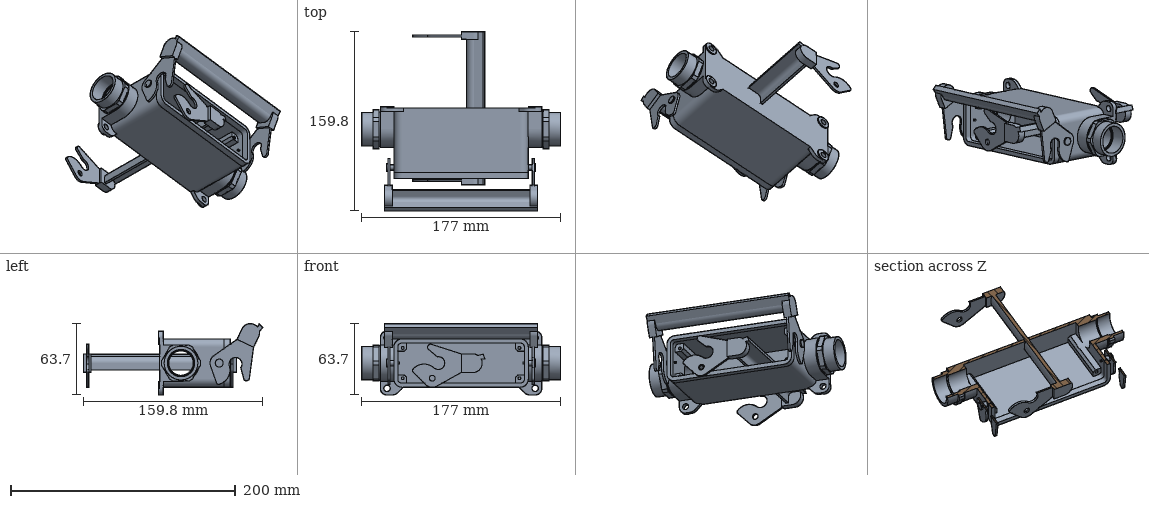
import cadquery as cq
import math


HOUSING_LENGTH = 119.5
HOUSING_HEIGHT = 43.0
HOUSING_DEPTH = 63.0
CORNER_RADIUS = 7.3
CAVITY_LENGTH = 112.5
CAVITY_HEIGHT = 35.4
CAVITY_RADIUS = 3.4
BACK_WALL = 3.4

FRAME_DEPTH = 5.7

POST_LENGTH = 8.0
POST_HEIGHT = 7.3
POST_CHAMFER = 2.3
POST_SETBACK = 11.3
SCREW_HOLE_DIAMETER = 2.5
SCREW_HOLE_DEPTH = 10.6
SCREW_X = 51.9
SCREW_Z = 13.5

EAR_THICKNESS = BACK_WALL
EAR_PAD_DIAMETER = 12.0
EAR_PAD_PROUD = 1.0
EAR_HOLE_DIAMETER = 5.5
EAR_X = 65.8
EAR_Z = 22.5
EAR_FLAT_END_X = 61.6
EAR_BLEND_RADIUS = 7.8
EAR_SLOPE_DEGREES = 45
EAR_PAD_THICKNESS = EAR_PAD_PROUD + EAR_THICKNESS

GLAND_Y = -19.1
GLAND_END_X = 88.5
BOSS_END_X = EAR_X + EAR_PAD_DIAMETER / 2
BOSS_RADIUS = 16.3
NECK_DIAMETER = 31.0
NECK_LENGTH = 1.0
HEX_LENGTH = 5.3
HEX_ACROSS_FLATS = 31.9
HEX_TURN_DEGREES = 30
HEX_CORNER_DIAMETER = 34.9
TUBE_DIAMETER = 30.0
TUBE_BORE_DIAMETER = 24.2
TUBE_BORE_DEPTH = 12.7
SEAT_DIAMETER = 23.5
SEAT_LENGTH = 1.2
INNER_BORE_DIAMETER = 21.8

LEVER_LENGTH = 136.3
ARM_THICKNESS = 2.0
ARM_INSET = 3.0
END_BLOCK_THICKNESS = 7.0
PIVOT_HOLE_DIAMETER = 5.1
PIVOT_END_RADIUS = 8.1

PIN_DIAMETER = 5.0
PIN_HEAD_DIAMETER = 7.0
PIN_HEAD_THICKNESS = 1.2
PIN_TAIL_DIAMETER = 1.8
PIN_TAIL_LENGTH = 1.5

PIVOT_Y = -53.1
MOUNTED_LEVER_DEGREES = 64.5
LOOSE_PIVOT_X = -25.7
LOOSE_PIVOT_Z = -13.5
LOOSE_LEVER_Y = -0.4


def on_circle(centre, radius, degrees):
    """Point on a circle at an angle from the first axis."""
    angle = math.radians(degrees)
    return (centre[0] + radius * math.cos(angle), centre[1] + radius * math.sin(angle))


def block(x0, x1, y0, y1, z0, z1):
    """Box between two opposite corners."""
    return cq.Workplane("XY").box(x1 - x0, y1 - y0, z1 - z0, centered=False).translate((x0, y0, z0))


def rounded_block(length, height, radius, y_front, y_back):
    """Bar along Y with a rounded rectangular section centred on the Y axis."""
    return (
        cq.Workplane("XZ", origin=(0, y_back, 0))
        .rect(length, height)
        .extrude(y_back - y_front)
        .edges("|Y")
        .fillet(radius)
    )


def mirrored_pair(shape):
    """A right-hand shape together with its left-hand mirror image."""
    return shape.union(shape.mirror("YZ"))


def rod(diameter, x0, x1, y):
    """Cylinder along X at mid height."""
    return cq.Workplane("YZ", origin=(x0, y, 0)).circle(diameter / 2).extrude(x1 - x0)



FRAME_Y = -HOUSING_DEPTH + FRAME_DEPTH


def ear():
    """Upper right mounting ear with a raised pad around its screw hole."""
    pad_radius = EAR_PAD_DIAMETER / 2
    slope = math.radians(EAR_SLOPE_DEGREES)
    top_z = EAR_Z + pad_radius
    root_z = HOUSING_HEIGHT / 2 - CORNER_RADIUS

    def blend_point(angle):
        return (
            EAR_FLAT_END_X - EAR_BLEND_RADIUS * math.sin(angle),
            top_z - EAR_BLEND_RADIUS * (1 - math.cos(angle)),
        )

    blend_end = blend_point(slope)
    slope_foot = (blend_end[0] - (blend_end[1] - root_z) / math.tan(slope), root_z)
    round_middle = on_circle((EAR_X, EAR_Z), pad_radius, 45)
    plate = (
        cq.Workplane("XZ")
        .moveTo(*slope_foot)
        .lineTo(*blend_end)
        .threePointArc(blend_point(slope / 2), (EAR_FLAT_END_X, top_z))
        .lineTo(EAR_X, top_z)
        .threePointArc(round_middle, (BOSS_END_X, EAR_Z))
        .lineTo(BOSS_END_X, 0)
        .lineTo(slope_foot[0], 0)
        .close()
        .extrude(EAR_THICKNESS)
    )
    pad_plane = cq.Workplane("XZ", origin=(EAR_X, EAR_PAD_PROUD, EAR_Z))
    pad = pad_plane.circle(pad_radius).extrude(EAR_PAD_THICKNESS)
    hole = pad_plane.circle(EAR_HOLE_DIAMETER / 2).extrude(EAR_PAD_THICKNESS)
    return plate.union(pad).cut(hole)


def gland():
    """Right cable gland: boss on the housing end, neck, hexagon and tube."""
    boss_start = CAVITY_LENGTH / 2
    hex_start = BOSS_END_X + NECK_LENGTH
    hex_end = hex_start + HEX_LENGTH
    boss = rod(2 * BOSS_RADIUS, boss_start, BOSS_END_X, GLAND_Y).union(
        block(boss_start, BOSS_END_X, GLAND_Y, 0, -BOSS_RADIUS, BOSS_RADIUS)
    )
    neck = rod(NECK_DIAMETER, BOSS_END_X, hex_start, GLAND_Y)
    hexagon = (
        cq.Workplane("YZ", origin=(hex_start, GLAND_Y, 0))
        .polygon(6, HEX_ACROSS_FLATS, circumscribed=True)
        .extrude(HEX_LENGTH)
        .rotate((0, GLAND_Y, 0), (1, GLAND_Y, 0), HEX_TURN_DEGREES)
        .intersect(rod(HEX_CORNER_DIAMETER, hex_start, hex_end, GLAND_Y))
    )
    tube = rod(TUBE_DIAMETER, hex_end, GLAND_END_X, GLAND_Y)
    return boss.union(neck).union(hexagon).union(tube)


def gland_bore():
    """Stepped bore from the end of the right gland, past a short seat, into the cavity."""
    inner_start = CAVITY_LENGTH / 2 - POST_LENGTH
    seat_end = GLAND_END_X - TUBE_BORE_DEPTH
    seat_start = seat_end - SEAT_LENGTH
    inner = rod(INNER_BORE_DIAMETER, inner_start, seat_start, GLAND_Y)
    seat = rod(SEAT_DIAMETER, seat_start, seat_end, GLAND_Y)
    outer = rod(TUBE_BORE_DIAMETER, seat_end, GLAND_END_X, GLAND_Y)
    return inner.union(seat).union(outer)


def screw_posts():
    """Four chamfered posts along the cavity corners, each with a blind screw hole."""
    y_front = -HOUSING_DEPTH + POST_SETBACK
    corner_x = CAVITY_LENGTH / 2
    corner_z = CAVITY_HEIGHT / 2
    post = (
        block(corner_x - POST_LENGTH, corner_x, y_front, -BACK_WALL, corner_z - POST_HEIGHT, corner_z)
        .edges("|Y and <X and <Z")
        .chamfer(POST_CHAMFER)
        .intersect(rounded_block(CAVITY_LENGTH, CAVITY_HEIGHT, CAVITY_RADIUS, y_front, -BACK_WALL))
    )
    hole = (
        cq.Workplane("XZ", origin=(SCREW_X, y_front + SCREW_HOLE_DEPTH, SCREW_Z))
        .circle(SCREW_HOLE_DIAMETER / 2)
        .extrude(SCREW_HOLE_DEPTH)
    )
    upper = mirrored_pair(post.cut(hole))
    return upper.union(upper.mirror("XY"))


def pivot_pin():
    """Right pivot pin: shank through the lever arm, outer head and a thin tail inside the cavity."""
    wall_x = CAVITY_LENGTH / 2
    head_start = LEVER_LENGTH / 2 - ARM_INSET
    shank = rod(PIN_DIAMETER, wall_x, head_start, PIVOT_Y)
    head = rod(PIN_HEAD_DIAMETER, head_start, head_start + PIN_HEAD_THICKNESS, PIVOT_Y)
    tail = rod(PIN_TAIL_DIAMETER, wall_x - PIN_TAIL_LENGTH, wall_x, PIVOT_Y)
    return shank.union(head).union(tail)


def make_housing():
    """Box open to the front, with ears, glands, screw posts and pivot pins."""
    upper_ears = mirrored_pair(ear())
    shell = (
        rounded_block(HOUSING_LENGTH, HOUSING_HEIGHT, CORNER_RADIUS, FRAME_Y, 0)
        .union(upper_ears)
        .union(upper_ears.mirror("XY"))
        .union(mirrored_pair(gland()))
        .cut(rounded_block(CAVITY_LENGTH, CAVITY_HEIGHT, CAVITY_RADIUS, FRAME_Y, -BACK_WALL))
    )
    return (
        shell.union(screw_posts())
        .cut(mirrored_pair(gland_bore()))
        .union(mirrored_pair(pivot_pin()))
    )




def make_frame():
    """Ring of the housing's own outline that finishes the open front."""
    outer = rounded_block(HOUSING_LENGTH, HOUSING_HEIGHT, CORNER_RADIUS, -HOUSING_DEPTH, FRAME_Y)
    return outer.cut(
        rounded_block(CAVITY_LENGTH, CAVITY_HEIGHT, CAVITY_RADIUS, -HOUSING_DEPTH, FRAME_Y)
    )



BLOCK_U = 25.8
BLOCK_BOTTOM = 5.1
BLOCK_TOP = 21.6
BLOCK_ROUND_U = 37.0
BLOCK_NOSE_U = 44.5
GRIP_CENTRE = (36.6, 13.1)
GRIP_RADIUS = 6.2
GRIP_THICKNESS = 2.3
GRIP_SKIRT_V = 7.3
GRIP_RIM_START = (37.2, GRIP_CENTRE[1] + GRIP_RADIUS)
GRIP_RIM_OUTER = (45.3, 21.5)
GRIP_RIM_INNER = (46.9, GRIP_CENTRE[1] + GRIP_RADIUS - GRIP_THICKNESS)
HOOK_CENTRE = (5.5, 13.5)
HOOK_RADIUS = 5.7
LOBE_TIP = [(-17.0, 5.5), (-17.5, 6.9), (-16.8, 8.3)]
LOBE_CREST = (-7.5, 12.5)
LOBE_END = (1.0, 9.5)
HOOK_ENTRY = (2.3, 8.7)
FINGER_TIP = [(-3.5, 25.8), (-3.5, 29.2), (-0.5, 30.1)]


def arm_outline(plane):
    """Flat arm: pivot lobe, hook notch and tapered finger."""
    pivot = (0, 0)
    hook_start = on_circle(HOOK_CENTRE, HOOK_RADIUS, -105)
    hook_middle = on_circle(HOOK_CENTRE, HOOK_RADIUS, 0)
    hook_end = on_circle(HOOK_CENTRE, HOOK_RADIUS, 100)
    return (
        plane.moveTo(BLOCK_U, BLOCK_BOTTOM)
        .lineTo(*on_circle(pivot, PIVOT_END_RADIUS, -60))
        .threePointArc((0, -PIVOT_END_RADIUS), on_circle(pivot, PIVOT_END_RADIUS, -135))
        .lineTo(*LOBE_TIP[0])
        .threePointArc(LOBE_TIP[1], LOBE_TIP[2])
        .threePointArc(LOBE_CREST, LOBE_END)
        .threePointArc(HOOK_ENTRY, hook_start)
        .threePointArc(hook_middle, hook_end)
        .lineTo(*FINGER_TIP[0])
        .threePointArc(FINGER_TIP[1], FINGER_TIP[2])
        .lineTo(BLOCK_U, BLOCK_TOP)
        .close()
    )


def end_block_outline(plane):
    """D-shaped block that ties an arm to the grip."""
    middle_v = (BLOCK_BOTTOM + BLOCK_TOP) / 2
    return (
        plane.moveTo(BLOCK_U, BLOCK_BOTTOM)
        .lineTo(BLOCK_ROUND_U, BLOCK_BOTTOM)
        .threePointArc((BLOCK_NOSE_U, middle_v), (BLOCK_ROUND_U, BLOCK_TOP))
        .lineTo(BLOCK_U, BLOCK_TOP)
        .close()
    )


def grip_outline(plane):
    """Curved strip with a straight skirt and a flared rim."""
    u, v = GRIP_CENTRE
    inner_radius = GRIP_RADIUS - GRIP_THICKNESS
    return (
        plane.moveTo(u - GRIP_RADIUS, GRIP_SKIRT_V)
        .lineTo(u - GRIP_RADIUS, v)
        .threePointArc(on_circle(GRIP_CENTRE, GRIP_RADIUS, 135), (u, v + GRIP_RADIUS))
        .lineTo(*GRIP_RIM_START)
        .lineTo(*GRIP_RIM_OUTER)
        .lineTo(*GRIP_RIM_INNER)
        .lineTo(u, v + inner_radius)
        .threePointArc(on_circle(GRIP_CENTRE, inner_radius, 135), (u - inner_radius, v))
        .lineTo(u - inner_radius, GRIP_SKIRT_V)
        .close()
    )


def make_lever(pivot_plane):
    """Lever centred on a plane through its pivot, symmetric about that plane."""
    half_length = LEVER_LENGTH / 2
    lever = grip_outline(cq.Workplane(pivot_plane)).extrude(half_length, both=True)
    arm_outer = half_length - ARM_INSET
    for side in (-1, 1):
        block_plane = cq.Workplane(pivot_plane).workplane(offset=side * half_length)
        arm_plane = cq.Workplane(pivot_plane).workplane(offset=side * arm_outer)
        arm = arm_outline(arm_plane).extrude(-side * ARM_THICKNESS)
        hole = arm_plane.circle(PIVOT_HOLE_DIAMETER / 2).extrude(-side * ARM_THICKNESS)
        end_block = end_block_outline(block_plane).extrude(-side * END_BLOCK_THICKNESS)
        lever = lever.union(end_block).union(arm.cut(hole))
    return lever


tilt = math.radians(MOUNTED_LEVER_DEGREES)
mounted_plane = cq.Plane(
    origin=(0, PIVOT_Y, 0), xDir=(0, -math.cos(tilt), math.sin(tilt)), normal=(1, 0, 0)
)
loose_plane = cq.Plane(
    origin=(LOOSE_PIVOT_X, LOOSE_LEVER_Y, LOOSE_PIVOT_Z), xDir=(1, 0, 0), normal=(0, -1, 0)
)

levers = [make_lever(plane) for plane in (mounted_plane, loose_plane)]
frame = make_frame()

housing = make_housing().cut(levers[1])

result = cq.Compound.makeCompound([housing.val(), frame.val(), *[lever.val() for lever in levers]])